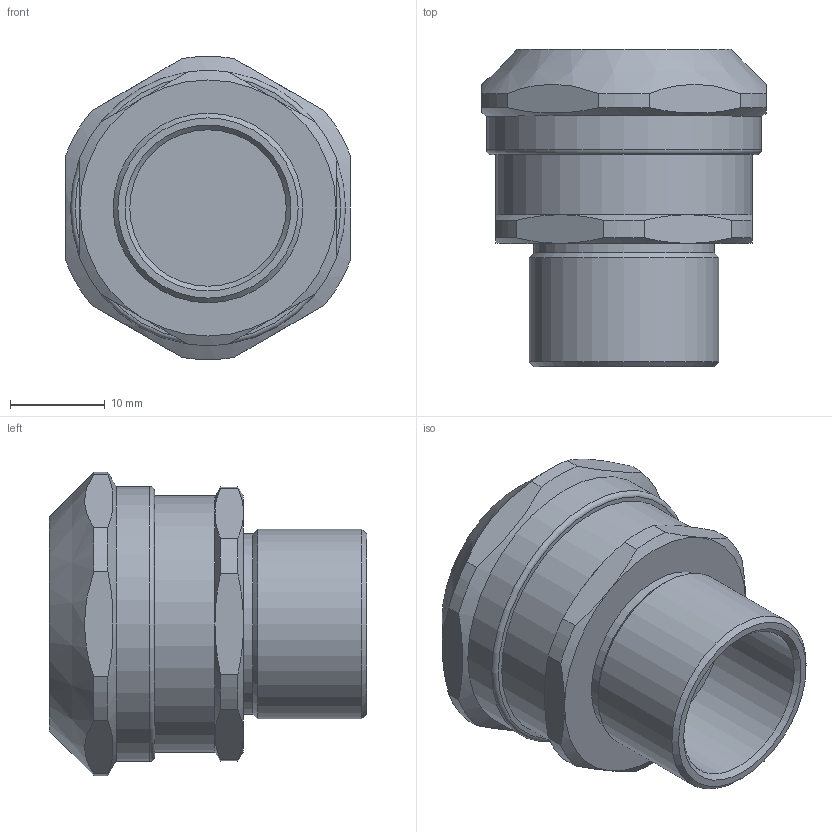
import cadquery as cq
import math

length = 33.47
chamfer_slope = math.tan(math.radians(30))

nut_flats = 30.0
nut_corner_diameter = 32.0
rear_face_radius = 11.3
nut_front_y = -7.05

collar_diameter = 29.0
collar_front_y = -11.1
collar_fillet = 0.5

spigot_diameter = 20.0
spigot_length = 12.0
spigot_chamfer = 0.5
neck_diameter = 19.0
neck_length = 1.0
neck_front_y = -length + spigot_length

body_diameter = 27.0
hex_flats = 27.0
hex_corner_diameter = 29.0
hex_thickness = 3.0
hex_front_y = neck_front_y + neck_length
hex_rear_y = hex_front_y + hex_thickness

bore_diameter = 16.5
bore_depth = 11.47
bore_chamfer = 0.5
recess_diameter = 21.0
recess_depth = 0.85


def cylinder(diameter, front_y, rear_y):
    """Cylinder on the Y axis between two stations."""
    return cq.Workplane("XZ", origin=(0, rear_y, 0)).circle(diameter / 2).extrude(rear_y - front_y)


def hex_prism(flats, front_y, rear_y):
    """Hexagonal prism on the Y axis with one pair of flats facing +X and -X."""
    across_corners = flats / math.cos(math.radians(30))
    prism = cq.Workplane("XZ", origin=(0, rear_y, 0)).polygon(6, across_corners)
    return prism.extrude(rear_y - front_y).rotate((0, 0, 0), (0, 1, 0), 30)


def revolve_about_y(profile):
    """Close a half profile drawn as radius against y and revolve it about the Y axis."""
    return profile.close().revolve(360, (0, 0, 0), (0, 1, 0))


def make_rear_nut():
    corner_radius = nut_corner_diameter / 2
    collar_radius = collar_diameter / 2
    bevel_run = (corner_radius - collar_radius) * chamfer_slope
    envelope = (
        cq.Workplane("XY")
        .moveTo(0, nut_front_y)
        .lineTo(collar_radius, nut_front_y)
        .lineTo(corner_radius, nut_front_y + bevel_run)
        .lineTo(corner_radius, rear_face_radius - corner_radius)
        .lineTo(rear_face_radius, 0)
        .lineTo(0, 0)
    )
    return revolve_about_y(envelope).intersect(hex_prism(nut_flats, nut_front_y, 0))


def make_collar():
    collar = cylinder(collar_diameter, collar_front_y, nut_front_y)
    return collar.faces("<Y").edges().fillet(collar_fillet)


def make_front_hex():
    face_radius = body_diameter / 2
    corner_radius = hex_corner_diameter / 2
    bevel_run = (corner_radius - face_radius) * chamfer_slope
    envelope = (
        cq.Workplane("XY")
        .moveTo(0, hex_front_y)
        .lineTo(face_radius, hex_front_y)
        .lineTo(corner_radius, hex_front_y + bevel_run)
        .lineTo(corner_radius, hex_rear_y - bevel_run)
        .lineTo(face_radius, hex_rear_y)
        .lineTo(0, hex_rear_y)
    )
    return revolve_about_y(envelope).intersect(hex_prism(hex_flats, hex_front_y, hex_rear_y))


def make_spigot():
    neck = cylinder(neck_diameter, neck_front_y, hex_front_y)
    spigot = cylinder(spigot_diameter, -length, neck_front_y).edges().chamfer(spigot_chamfer)
    return neck.union(spigot)


def make_bore():
    mouth_radius = bore_diameter / 2 + bore_chamfer
    profile = (
        cq.Workplane("XY")
        .moveTo(0, -length)
        .lineTo(mouth_radius, -length)
        .lineTo(bore_diameter / 2, -length + bore_chamfer)
        .lineTo(bore_diameter / 2, -length + bore_depth)
        .lineTo(0, -length + bore_depth)
    )
    return revolve_about_y(profile)


body = cylinder(body_diameter, hex_rear_y, collar_front_y)
recess = cylinder(recess_diameter, -recess_depth, 0)

result = make_rear_nut().union(make_collar()).union(body).union(make_front_hex()).union(make_spigot())
result = result.cut(make_bore()).cut(recess)